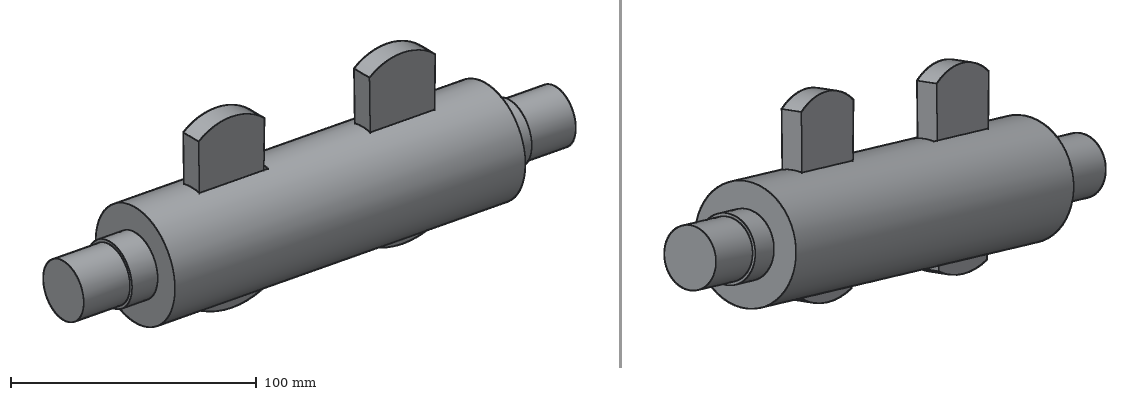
import cadquery as cq

TOTAL_LENGTH = 253.0
ROLLER_DIAMETER = 53.0
ROLLER_FRONT_Y = -89.5
ROLLER_BACK_Y = 90.5
COLLAR_DIAMETER = 29.9

STUB_DIAMETER = 27.0
STUB_LENGTH = 23.8
COLLAR_END_Y = TOTAL_LENGTH / 2 - STUB_LENGTH

BLADE_THICKNESS = 10.5
BLADE_HEIGHT = 87.5
BLADE_TOP_WIDTH = 34.0
BLADE_BOTTOM_WIDTH = 31.5
TOP_CROWN = 6.0
BOTTOM_CROWN = 3.5
BLADE_PLACES = [(43.8, 57.2), (-44.0, 55.7)]

GAP_BACK_Y = -25.3
GAP_DEPTH = 5.0


def cylinder_along_y(diameter, start_y, end_y):
    """Solid cylinder on the Y axis between two Y positions."""
    return (
        cq.Workplane("XZ", origin=(0, start_y, 0))
        .circle(diameter / 2)
        .extrude(start_y - end_y)
    )


def make_blade(center_y, top_z):
    """Flat blade with tapered sides and an arc at each end."""
    bottom_z = top_z - BLADE_HEIGHT
    top_corner_z = top_z - TOP_CROWN
    bottom_corner_z = bottom_z + BOTTOM_CROWN
    half_top = BLADE_TOP_WIDTH / 2
    half_bottom = BLADE_BOTTOM_WIDTH / 2
    return (
        cq.Workplane("YZ")
        .moveTo(center_y - half_bottom, bottom_corner_z)
        .threePointArc((center_y, bottom_z), (center_y + half_bottom, bottom_corner_z))
        .lineTo(center_y + half_top, top_corner_z)
        .threePointArc((center_y, top_z), (center_y - half_top, top_corner_z))
        .close()
        .extrude(BLADE_THICKNESS / 2, both=True)
    )


def make_gap_cutter():
    """Block that cuts the shallow gap behind the front blade, from the blade's center back."""
    start_y = BLADE_PLACES[1][0]
    length = GAP_BACK_Y - start_y
    return (
        cq.Workplane("XY", origin=(0, start_y + length / 2, ROLLER_DIAMETER / 2))
        .rect(BLADE_THICKNESS, length)
        .extrude(-GAP_DEPTH)
    )


def make_roller(blades):
    """Roller with a collar at each end and a matching slot for every blade, one with a gap."""
    barrel = cylinder_along_y(ROLLER_DIAMETER, ROLLER_FRONT_Y, ROLLER_BACK_Y)
    collars = cylinder_along_y(COLLAR_DIAMETER, -COLLAR_END_Y, COLLAR_END_Y)
    roller = barrel.union(collars)
    for blade in blades:
        roller = roller.cut(blade)
    return roller.cut(make_gap_cutter())


def make_stub(side):
    """Stub shaft at the front (side = -1) or back (side = 1) end."""
    return cylinder_along_y(STUB_DIAMETER, side * COLLAR_END_Y, side * TOTAL_LENGTH / 2)


blades = [make_blade(center_y, top_z) for center_y, top_z in BLADE_PLACES]
stubs = [make_stub(side) for side in (-1, 1)]
roller = make_roller(blades)

result = cq.Compound.makeCompound(
    [roller.val()] + [blade.val() for blade in blades] + [stub.val() for stub in stubs]
)